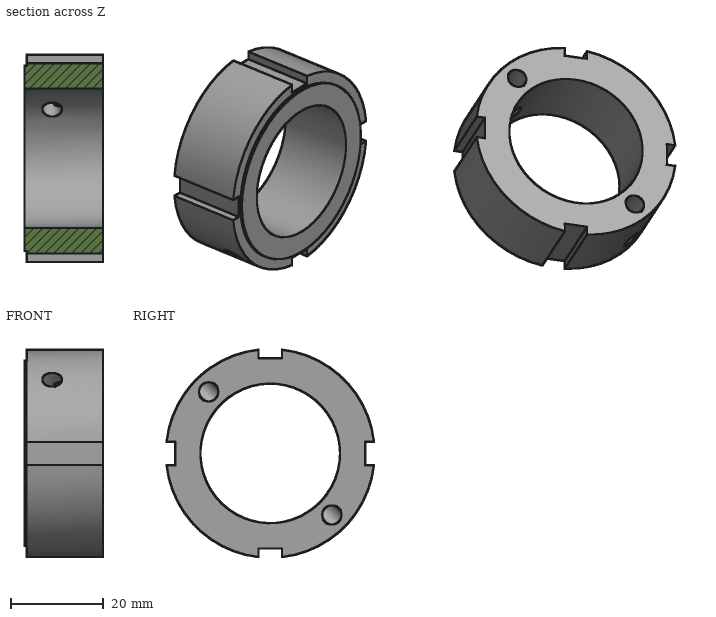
import cadquery as cq

outer_diameter = 45.0
bore_diameter = 30.0
total_width = 17.0

face_diameter = 40.0
face_height = 0.5

slot_count = 4
slot_width = 5.0
slot_depth = 2.0

screw_hole_diameter = 4.2
screw_hole_x = 6.0
screw_hole_angles = (45.0, 225.0)

axial_hole_diameter = 4.13
axial_hole_end_x = 6.4
axial_hole_radius = (outer_diameter + bore_diameter) / 4

outer_radius = outer_diameter / 2


def ring_body():
    """Ring with its raised contact face and through bore."""
    face = cq.Workplane("YZ").circle(face_diameter / 2).extrude(face_height)
    body = (
        cq.Workplane("YZ", origin=(face_height, 0, 0))
        .circle(outer_radius)
        .extrude(total_width - face_height)
    )
    bore = cq.Workplane("YZ").circle(bore_diameter / 2).extrude(total_width)
    return body.union(face).cut(bore)


def turn_about_axis(shape, angle):
    """Turn a shape about the nut axis, from +Z towards -Y."""
    return shape.rotate((0, 0, 0), (1, 0, 0), angle)


def spanner_slot(angle):
    """Full-width cutter for one slot."""
    slot = cq.Workplane("XY", origin=(0, 0, outer_radius - slot_depth)).box(
        total_width, slot_width, outer_radius, centered=(False, True, False)
    )
    return turn_about_axis(slot, angle)


def screw_hole(angle):
    """Radial cutter running from the nut axis out through the wall."""
    hole = (
        cq.Workplane("XY", origin=(screw_hole_x, 0, 0))
        .circle(screw_hole_diameter / 2)
        .extrude(outer_diameter)
    )
    return turn_about_axis(hole, angle)


def axial_hole(angle):
    """Flat-bottomed cutter sunk from the +X end, parallel to the nut axis."""
    hole = (
        cq.Workplane("YZ", origin=(axial_hole_end_x, 0, axial_hole_radius))
        .circle(axial_hole_diameter / 2)
        .extrude(total_width - axial_hole_end_x)
    )
    return turn_about_axis(hole, angle)


result = ring_body()
for index in range(slot_count):
    result = result.cut(spanner_slot(index * 360.0 / slot_count))
for hole_angle in screw_hole_angles:
    result = result.cut(screw_hole(hole_angle))
    result = result.cut(axial_hole(hole_angle))